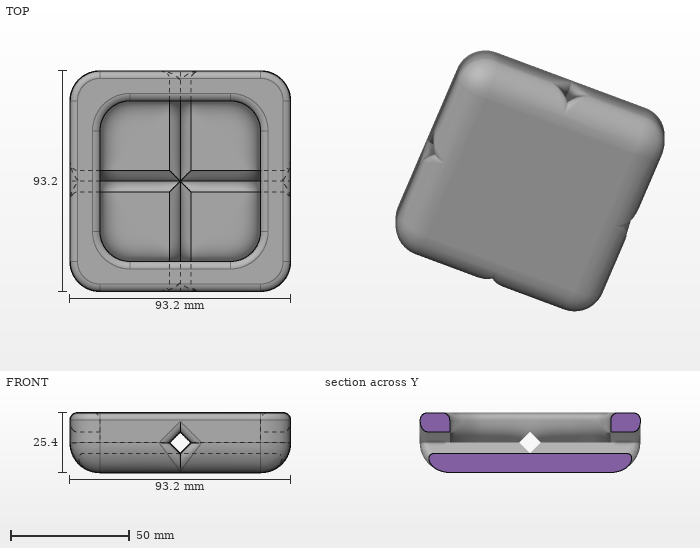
import cadquery as cq
import math

side = 93.22
height = 25.4
wall = 12.7
floor_z = 12.7
corner_radius = 12.7
bottom_radius = 12.7
edge_radius = 3.175
channel_side = 6.35
clearance = 1.0

pocket_side = side - 2 * wall
front_y = -side / 2
mouth_half_width = math.sqrt(2) * (channel_side / 2 + edge_radius)


def make_body():
    """Rounded square block with a fully rounded underside."""
    block = cq.Workplane("XY").rect(side, side).extrude(height)
    block = block.edges("|Z").fillet(corner_radius)
    return block.faces("<Z").edges().fillet(bottom_radius)


def cut_pocket(body):
    """Sink the rounded square pocket from the top face, then round both top rims."""
    pocket = (
        cq.Workplane("XY", origin=(0, 0, floor_z))
        .rect(pocket_side, pocket_side)
        .extrude(height - floor_z)
        .edges("|Z")
        .fillet(corner_radius)
    )
    return body.cut(pocket).faces(">Z").edges().fillet(edge_radius)


def make_channel(plane):
    """Diamond-section bar centred on the pocket floor height, as long as the part."""
    return (
        cq.Workplane(plane, origin=(0, 0, floor_z))
        .transformed(rotate=(0, 0, 45))
        .rect(channel_side, channel_side)
        .extrude(side / 2, both=True)
    )


def make_wall_block():
    """Short length of the front of the body, with its rounded underside."""
    block_width = 2 * (mouth_half_width + clearance)
    return (
        cq.Workplane("XY", origin=(0, front_y, 0))
        .box(block_width, 2 * wall, height, centered=(True, False, False))
        .edges("<Y and <Z")
        .fillet(bottom_radius)
    )


def make_mouth():
    """Flared outer end of the channel in the front wall.

    The plane of each channel side splits the wall block, and the piece beyond that side
    gets a rounded outer edge. The space that no rounded piece covers is the mouth.
    """
    wall_block = make_wall_block()
    cutter_size = 4 * height
    front_region = cq.selectors.BoxSelector(
        (-cutter_size, front_y - clearance, -clearance),
        (cutter_size, front_y + wall, height + clearance),
    )
    mouth = wall_block
    for turn in (45, 135, 225, 315):
        beyond_side = (
            cq.Workplane("XY", origin=(0, front_y, channel_side / 2))
            .box(cutter_size, cutter_size, cutter_size, centered=(True, True, False))
            .rotate((0, 0, 0), (0, 1, 0), turn)
            .translate((0, 0, floor_z))
        )
        angle = math.radians(turn)
        outward = cq.Vector(math.sin(angle), 0, math.cos(angle))
        nearest_face = cq.selectors.DirectionMinMaxSelector(outward, False)
        piece = wall_block.intersect(beyond_side)
        rounded_piece = piece.faces(nearest_face).edges(front_region).fillet(edge_radius)
        mouth = mouth.cut(rounded_piece)
    return mouth


def cut_channels(body):
    """Cut the two crossing channels and their four flared mouths."""
    for plane in ("XZ", "YZ"):
        body = body.cut(make_channel(plane))
    mouth = make_mouth()
    for turn in (0, 90, 180, 270):
        body = body.cut(mouth.rotate((0, 0, 0), (0, 0, 1), turn))
    return body


result = cut_channels(cut_pocket(make_body()))